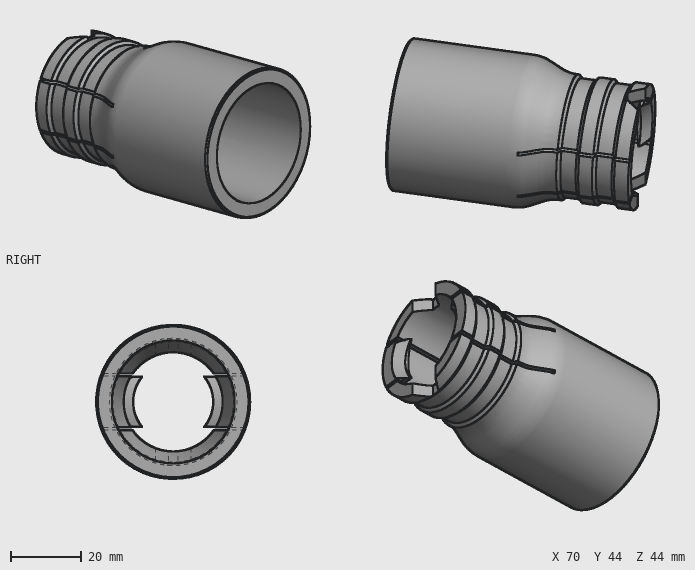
import cadquery as cq
import math

length = 70.0
socket_diameter = 44.0
socket_radius = socket_diameter / 2
socket_bore_radius = 17.6
socket_end_chamfer = 0.5

rib_radius = 18.2
groove_radius = 17.2
rib_chamfer = rib_radius - groove_radius
grip_bore_radius = 14.15
first_rib_end = 4.05
second_rib_start = 10.6
second_rib_end = 14.55
third_rib_start = 21.0

shoulder_end = 34.45
shoulder_arc_radius = 10.15
shoulder_angle = math.radians(25.2)

bore_cone_start = 21.0
bore_cone_end = 30.2

slot_width = 0.8
slot_offset = 7.7
slot_length = 31.85

catch_radius = 11.4
catch_ramp_length = grip_bore_radius - catch_radius
catch_length = 3.9
catch_end_length = 2.95
catch_height = 14.35
catch_front_height = 13.15
catch_end_trim_length = 1.8

notch_mouth_width = 10.1
notch_floor_width = 2.65
notch_depth = 4.5


def revolve_about_x(profile):
    return profile.close().revolve(360, (0, 0, 0), (1, 0, 0))


def make_outer_body():
    arc_run = shoulder_arc_radius * math.sin(shoulder_angle)
    arc_rise = shoulder_arc_radius * (1 - math.cos(shoulder_angle))
    half_arc_run = shoulder_arc_radius * math.sin(shoulder_angle / 2)
    half_arc_rise = shoulder_arc_radius * (1 - math.cos(shoulder_angle / 2))
    flank_rise = socket_radius - rib_radius - 2 * arc_rise
    flank_run = flank_rise / math.tan(shoulder_angle)
    shoulder_start = shoulder_end - 2 * arc_run - flank_run

    profile = (
        cq.Workplane("XY")
        .lineTo(0, rib_radius)
        .lineTo(first_rib_end, rib_radius)
        .lineTo(first_rib_end + rib_chamfer, groove_radius)
        .lineTo(second_rib_start - rib_chamfer, groove_radius)
        .lineTo(second_rib_start, rib_radius)
        .lineTo(second_rib_end, rib_radius)
        .lineTo(second_rib_end + rib_chamfer, groove_radius)
        .lineTo(third_rib_start - rib_chamfer, groove_radius)
        .lineTo(third_rib_start, rib_radius)
        .lineTo(shoulder_start, rib_radius)
        .threePointArc(
            (shoulder_start + half_arc_run, rib_radius + half_arc_rise),
            (shoulder_start + arc_run, rib_radius + arc_rise),
        )
        .lineTo(shoulder_end - arc_run, socket_radius - arc_rise)
        .threePointArc(
            (shoulder_end - half_arc_run, socket_radius - half_arc_rise),
            (shoulder_end, socket_radius),
        )
        .lineTo(length - socket_end_chamfer, socket_radius)
        .lineTo(length, socket_radius - socket_end_chamfer)
        .lineTo(length, 0)
    )
    return revolve_about_x(profile)


def make_bore():
    profile = (
        cq.Workplane("XY")
        .lineTo(0, grip_bore_radius)
        .lineTo(bore_cone_start, grip_bore_radius)
        .lineTo(bore_cone_end, socket_bore_radius)
        .lineTo(length, socket_bore_radius)
        .lineTo(length, 0)
    )
    return revolve_about_x(profile)


def make_catch():
    root_radius = (grip_bore_radius + groove_radius) / 2
    ring = revolve_about_x(
        cq.Workplane("XY")
        .moveTo(0, root_radius)
        .lineTo(0, grip_bore_radius)
        .lineTo(catch_ramp_length, catch_radius)
        .lineTo(catch_length, catch_radius)
        .lineTo(catch_length, root_radius)
    )
    side_outline_prism = (
        cq.Workplane("XZ")
        .moveTo(0, -catch_front_height / 2)
        .lineTo(catch_end_trim_length, -catch_height / 2)
        .lineTo(catch_end_length, -catch_height / 2)
        .threePointArc((catch_length, 0), (catch_end_length, catch_height / 2))
        .lineTo(catch_end_trim_length, catch_height / 2)
        .lineTo(0, catch_front_height / 2)
        .close()
        .extrude(-root_radius)
    )
    return ring.intersect(side_outline_prism)


def make_slots():
    return (
        cq.Workplane("YZ")
        .pushPoints([(0, slot_offset), (0, -slot_offset)])
        .rect(socket_diameter, slot_width)
        .extrude(slot_length)
    )


def make_notches():
    return (
        cq.Workplane("XY")
        .moveTo(0, -notch_mouth_width / 2)
        .lineTo(notch_depth, -notch_floor_width / 2)
        .lineTo(notch_depth, notch_floor_width / 2)
        .lineTo(0, notch_mouth_width / 2)
        .close()
        .extrude(socket_radius, both=True)
    )


catch = make_catch()
sleeve = make_outer_body().cut(make_bore()).union(catch).union(catch.mirror("XZ"))
result = sleeve.cut(make_slots()).cut(make_notches())